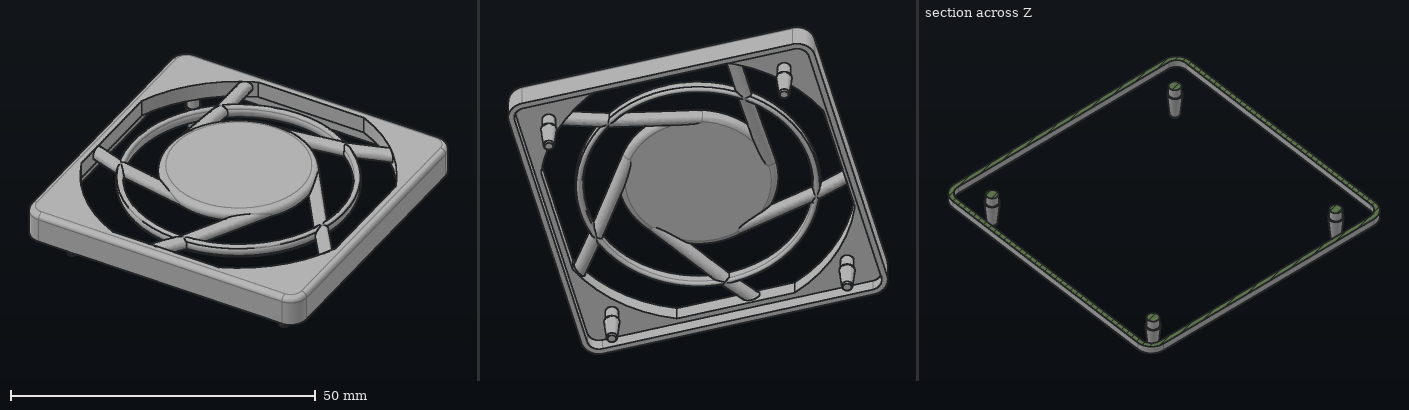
import cadquery as cq
import math


FRAME_SIDE = 52.0
FRAME_HEIGHT = 5.5
CORNER_RADIUS = 3.0
TOP_FILLET = 1.0
PLATE_THICKNESS = 3.0
SKIRT_THICKNESS = 1.0
OPENING_RADIUS = 26.0
OPENING_SIDE = 48.0

BAR_DIAMETER = 2.4
BAR_RADIUS = BAR_DIAMETER / 2
HUB_CORE_RADIUS = 12.0
HUB_TOP = 2.5
DOME_RISE = 0.5
RIM_TOP = HUB_TOP - DOME_RISE
RIM_Z = RIM_TOP - BAR_RADIUS
SPOKE_COUNT = 5
SPOKE_REACH = 24.0
SPOKE_EMBED = 0.5

RING_RADIUS = 19.5
RING_HEIGHT = BAR_DIAMETER
RING_CAP_RADIUS = 0.5
RING_BULGE = 0.2
RING_Z = -RING_HEIGHT / 2

PEG_SPACING = 40.0
PEG_LENGTH = 5.1
PEG_NECK_RADIUS = 1.1
BARB_DROP = 0.3
BARB_RADIUS = 1.3
PEG_TIP_RADIUS = 0.9
PEG_TIP_CHAMFER = 0.4
PEG_TIP_INSET = 0.2


def make_frame():
    inner_side = FRAME_SIDE - 2 * SKIRT_THICKNESS
    body = (
        cq.Workplane("XY")
        .workplane(offset=-FRAME_HEIGHT)
        .rect(FRAME_SIDE, FRAME_SIDE)
        .extrude(FRAME_HEIGHT)
        .edges("|Z")
        .fillet(CORNER_RADIUS)
        .faces(">Z")
        .edges()
        .fillet(TOP_FILLET)
    )
    cavity = (
        cq.Workplane("XY")
        .workplane(offset=-FRAME_HEIGHT)
        .rect(inner_side, inner_side)
        .extrude(FRAME_HEIGHT - PLATE_THICKNESS)
        .edges("|Z")
        .fillet(CORNER_RADIUS - SKIRT_THICKNESS)
    )
    opening = (
        cq.Workplane("XY")
        .circle(OPENING_RADIUS)
        .extrude(-FRAME_HEIGHT)
        .intersect(cq.Workplane("XY").rect(OPENING_SIDE, OPENING_SIDE).extrude(-FRAME_HEIGHT))
    )
    return body.cut(cavity).cut(opening)


def make_hub():
    """Disc with a half-round rim and a shallow spherical top."""
    dome_radius = (HUB_CORE_RADIUS**2 + DOME_RISE**2) / (2 * DOME_RISE)
    mid_radius = HUB_CORE_RADIUS / 2
    mid_z = HUB_TOP - dome_radius + math.sqrt(dome_radius**2 - mid_radius**2)
    return (
        cq.Workplane("XZ")
        .moveTo(0, RIM_Z - BAR_RADIUS)
        .lineTo(HUB_CORE_RADIUS, RIM_Z - BAR_RADIUS)
        .threePointArc((HUB_CORE_RADIUS + BAR_RADIUS, RIM_Z), (HUB_CORE_RADIUS, RIM_TOP))
        .threePointArc((mid_radius, mid_z), (0, HUB_TOP))
        .close()
        .revolve(360, (0, 0), (0, 1))
    )


def make_spokes():
    """Round bars leaving the hub rim at a tangent, sloping down to the ring, then running level."""
    bend_run = math.sqrt(RING_RADIUS**2 - HUB_CORE_RADIUS**2)
    path = (
        cq.Workplane("YZ", origin=(-HUB_CORE_RADIUS, 0, 0))
        .moveTo(0, RIM_Z)
        .lineTo(bend_run, RING_Z)
        .lineTo(SPOKE_REACH, RING_Z)
    )
    bar = (
        cq.Workplane("XZ", origin=(-HUB_CORE_RADIUS, 0, RIM_Z))
        .circle(BAR_RADIUS)
        .sweep(path, transition="right")
    )
    spokes = bar
    for index in range(1, SPOKE_COUNT):
        spokes = spokes.union(bar.rotate((0, 0, 0), (0, 0, 1), index * 360 / SPOKE_COUNT))
    reach = OPENING_SIDE + 2 * SPOKE_EMBED
    return spokes.intersect(cq.Workplane("XY").box(reach, reach, 4 * FRAME_HEIGHT))


def make_ring():
    """Guard ring whose upright section has round caps and gently bulging sides."""
    cap_z = RING_HEIGHT / 2 - RING_CAP_RADIUS
    half_width = RING_CAP_RADIUS + RING_BULGE
    return (
        cq.Workplane("XZ", origin=(RING_RADIUS, 0, RING_Z))
        .moveTo(RING_CAP_RADIUS, -cap_z)
        .threePointArc((half_width, 0), (RING_CAP_RADIUS, cap_z))
        .threePointArc((0, RING_HEIGHT / 2), (-RING_CAP_RADIUS, cap_z))
        .threePointArc((-half_width, 0), (-RING_CAP_RADIUS, -cap_z))
        .threePointArc((0, -RING_HEIGHT / 2), (RING_CAP_RADIUS, -cap_z))
        .close()
        .revolve(360, (-RING_RADIUS, 0), (-RING_RADIUS, 1))
    )


def make_pegs():
    """Four pegs hanging from the plate; below the skirt each widens to a tapered barb."""
    barb_z = -FRAME_HEIGHT - BARB_DROP
    tip_z = -FRAME_HEIGHT - PEG_LENGTH
    peg = (
        cq.Workplane("XZ")
        .moveTo(0, -PLATE_THICKNESS)
        .lineTo(PEG_NECK_RADIUS, -PLATE_THICKNESS)
        .lineTo(PEG_NECK_RADIUS, barb_z)
        .lineTo(BARB_RADIUS, barb_z)
        .lineTo(PEG_TIP_RADIUS, tip_z + PEG_TIP_CHAMFER)
        .lineTo(PEG_TIP_RADIUS - PEG_TIP_INSET, tip_z)
        .lineTo(0, tip_z)
        .close()
        .revolve(360, (0, 0), (0, 1))
    )
    pegs = cq.Workplane("XY")
    for x in (-PEG_SPACING / 2, PEG_SPACING / 2):
        for y in (-PEG_SPACING / 2, PEG_SPACING / 2):
            pegs = pegs.add(peg.translate((x, y, 0)))
    return pegs


result = make_frame().union(make_spokes()).union(make_ring()).union(make_hub())
for peg_solid in make_pegs().vals():
    result = result.union(cq.Workplane(peg_solid))